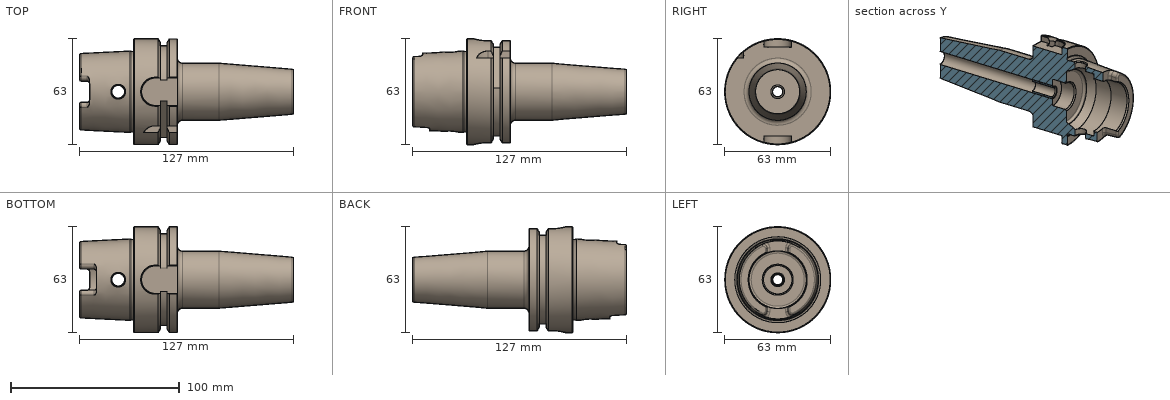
import cadquery as cq
import math

total_length = 127.0
taper_length = 32.0
flange_length = 26.0
flange_end = taper_length + flange_length
nose_start = 82.5

taper_mouth_radius = 22.7
taper_slope = 0.05
mouth_fillet = 1.0
relief_start = 29.8
relief_slope_length = 0.8
relief_radius = 48.0 / 2
face_recess_radius = 25.5
face_recess_fillet = 0.6
face_recess_depth = 0.5

flange_radius = 63.0 / 2
flange_chamfer = 0.4
groove_floor_start = 47.9
groove_floor_end = 51.8
groove_bevel_length = 1.4
groove_bevel_depth = 2.2
groove_radius = 27.3

shank_radius = 34.0 / 2
shank_fillet = 2.9
nose_radius = 13.5
nose_chamfer = 1.1
nose_chamfer_depth = 0.4

bore_mouth_radius = 34.0 / 2
bore_mouth_taper_length = 1.0
bore_mouth_taper_depth = 0.5
recess_start = 12.8
recess_end = 26.2
recess_cone_angle = 30.0
recess_radius = 40.0 / 2
inner_bore_radius = 17.1
floor_x = 33.0
floor_fillet = 1.4
coolant_radius = 16.9 / 2
coolant_chamfer = 0.8
coolant_length = 10.2

cross_hole_x = 22.9
cross_hole_radius = 7.5 / 2
cross_hole_chamfer = 0.6

slot_half_width = 6.2
slot_edge_fillet = 2.4
flare_overlap = 0.04
slot_depth_top = 5.8
slot_depth_bottom = 10.0
slot_root_fillet = 1.5

keyway_radius = 8.1
keyway_chamfer = 0.5
keyway_center_x = 44.8
keyway_floor = 26.4

notch_center_x = 44.8
notch_radius = 7.9
notch_wall_y = -20.2
notch_floor = 20.1
flat_distance = 21.7
flat_angle = 42.0

screw_radius = 4.1
screw_hole_radius = 6.0 / 2
screw_chamfer = 0.6
screw_length = 15.2
screw_start = floor_x + coolant_length

edge_samples = 4
tolerance = 0.03


def revolve_about_x(outline):
    return outline.close().revolve(360, (0, 0, 0), (1, 0, 0))


def make_blank():
    taper_end_radius = taper_mouth_radius + taper_slope * relief_start
    bevel_radius = flange_radius - groove_bevel_depth
    recess_floor_x = taper_length + face_recess_depth
    fillet_inset = face_recess_fillet * (1 - math.sqrt(0.5))
    arc_drop = shank_fillet * math.sqrt(0.5)
    outline = (
        cq.Workplane("XY")
        .moveTo(0, 0)
        .lineTo(0, taper_mouth_radius)
        .lineTo(relief_start, taper_end_radius)
        .lineTo(relief_start + relief_slope_length, relief_radius)
        .lineTo(recess_floor_x - face_recess_fillet, relief_radius)
        .threePointArc(
            (recess_floor_x - fillet_inset, relief_radius + fillet_inset),
            (recess_floor_x, relief_radius + face_recess_fillet),
        )
        .lineTo(recess_floor_x, face_recess_radius)
        .lineTo(taper_length, face_recess_radius)
        .lineTo(taper_length, flange_radius - flange_chamfer)
        .lineTo(taper_length + flange_chamfer, flange_radius)
        .lineTo(groove_floor_start - groove_bevel_length, flange_radius)
        .lineTo(groove_floor_start, bevel_radius)
        .lineTo(groove_floor_start, groove_radius)
        .lineTo(groove_floor_end, groove_radius)
        .lineTo(groove_floor_end, bevel_radius)
        .lineTo(groove_floor_end + groove_bevel_length, flange_radius)
        .lineTo(flange_end - flange_chamfer, flange_radius)
        .lineTo(flange_end, flange_radius - flange_chamfer)
        .lineTo(flange_end, shank_radius + shank_fillet)
        .threePointArc(
            (flange_end + shank_fillet - arc_drop, shank_radius + shank_fillet - arc_drop),
            (flange_end + shank_fillet, shank_radius),
        )
        .lineTo(nose_start, shank_radius)
        .lineTo(total_length - nose_chamfer, nose_radius)
        .lineTo(total_length, nose_radius - nose_chamfer_depth)
        .lineTo(total_length, 0)
    )
    return revolve_about_x(outline)


def bore_cutter():
    """Stepped bore: flared mouth, wide clamping recess, coolant bore and screw hole."""
    cone_depth = recess_radius - inner_bore_radius
    cone_end = recess_end + cone_depth / math.tan(math.radians(recess_cone_angle))
    arc_inset = floor_fillet * (1 - math.sqrt(0.5))
    outline = (
        cq.Workplane("XY")
        .lineTo(0, bore_mouth_radius + bore_mouth_taper_depth)
        .lineTo(bore_mouth_taper_length, bore_mouth_radius)
        .lineTo(recess_start, bore_mouth_radius)
        .lineTo(recess_start, recess_radius)
        .lineTo(recess_end, recess_radius)
        .lineTo(cone_end, inner_bore_radius)
        .lineTo(floor_x - floor_fillet, inner_bore_radius)
        .threePointArc(
            (floor_x - arc_inset, inner_bore_radius - arc_inset),
            (floor_x, inner_bore_radius - floor_fillet),
        )
        .lineTo(floor_x, coolant_radius + coolant_chamfer)
        .lineTo(floor_x + coolant_chamfer, coolant_radius)
        .lineTo(screw_start, coolant_radius)
        .lineTo(screw_start, screw_radius)
        .lineTo(total_length, screw_radius)
        .lineTo(total_length, 0)
    )
    return revolve_about_x(outline)


def edges_where(body, test):
    """Edges of the body on which every sampled point passes the test."""

    def passes(edge):
        return all(test(edge.positionAt(step / edge_samples)) for step in range(edge_samples + 1))

    return body.edges().filter(passes)


def taper_radius_at(x):
    return taper_mouth_radius + taper_slope * x


def distance_from_axis(point):
    return math.hypot(point.y, point.z)


def half_turn(body):
    return body.rotate((0, 0, 0), (1, 0, 0), 180)


def slot_profile(workplane, outer_radius):
    """Outline of a slot on the +Z side, its walls flaring in arcs that run into the outer radius."""
    center_y = slot_half_width + slot_edge_fillet
    center_distance = outer_radius + flare_overlap - slot_edge_fillet
    center_z = math.sqrt(center_distance**2 - center_y**2)
    flare_angle = math.atan2(center_z, center_y)
    middle_angle = (math.pi + flare_angle) / 2
    middle_y = center_y + slot_edge_fillet * math.cos(middle_angle)
    middle_z = center_z + slot_edge_fillet * math.sin(middle_angle)
    end_y = center_y + slot_edge_fillet * math.cos(flare_angle)
    end_z = center_z + slot_edge_fillet * math.sin(flare_angle)
    top_y = flange_radius * math.cos(flare_angle)
    top_z = flange_radius * math.sin(flare_angle)
    return (
        workplane.moveTo(-slot_half_width, 0)
        .lineTo(slot_half_width, 0)
        .lineTo(slot_half_width, center_z)
        .threePointArc((middle_y, middle_z), (end_y, end_z))
        .lineTo(top_y, top_z)
        .lineTo(-top_y, top_z)
        .lineTo(-end_y, end_z)
        .threePointArc((-middle_y, middle_z), (-slot_half_width, center_z))
        .close()
    )


def slot_cutter(depth):
    mouth = slot_profile(cq.Workplane("YZ"), taper_radius_at(0))
    slot = slot_profile(mouth.workplane(offset=depth), taper_radius_at(depth)).loft(ruled=True)

    def on_root(point):
        past_wall = abs(point.y) > slot_half_width - tolerance
        return past_wall and abs(point.x - depth) < tolerance and point.z < taper_radius_at(depth)

    return edges_where(slot, on_root).fillet(slot_root_fillet)


def cut_drive_slots(body):
    """Two open slots of different depth, and a round rim on what is left of the mouth."""
    body = body.cut(slot_cutter(slot_depth_top))
    body = body.cut(half_turn(slot_cutter(slot_depth_bottom)))
    return body.faces("<X").edges().fillet(mouth_fillet)


def cut_cross_hole(body):
    hole = cq.Workplane("XY").center(cross_hole_x, 0).circle(cross_hole_radius)
    body = body.cut(hole.extrude(taper_length, both=True))

    def on_rim(point):
        on_taper = abs(distance_from_axis(point) - taper_radius_at(point.x)) < tolerance
        return on_taper and math.hypot(point.x - cross_hole_x, point.y) < cross_hole_radius + tolerance

    return edges_where(body, on_rim).chamfer(cross_hole_chamfer)


def round_ended_slot(center_x, center_y, radius, floor_z):
    """Cutter for a flat-floored slot with a round end, open toward +X and +Z."""
    return (
        cq.Workplane("XY", origin=(0, 0, floor_z))
        .moveTo(flange_end, center_y + radius)
        .lineTo(center_x, center_y + radius)
        .threePointArc((center_x - radius, center_y), (center_x, center_y - radius))
        .lineTo(flange_end, center_y - radius)
        .close()
        .extrude(flange_radius)
    )


def cut_keyways(body):
    keyway = round_ended_slot(keyway_center_x, 0, keyway_radius, keyway_floor)
    body = body.cut(keyway).cut(half_turn(keyway))

    def on_rim(point):
        on_flange = abs(distance_from_axis(point) - flange_radius) < tolerance
        end_offset = math.hypot(min(point.x - keyway_center_x, 0), point.y)
        return on_flange and abs(end_offset - keyway_radius) < tolerance

    return edges_where(body, on_rim).chamfer(keyway_chamfer)


def cut_orientation_notch(body):
    center_y = notch_wall_y - notch_radius
    return body.cut(round_ended_slot(notch_center_x, center_y, notch_radius, notch_floor))


def cut_groove_flat(body):
    """Flat across the gripper groove floor, on the -Y side and tilted up toward +Z."""
    groove_width = groove_floor_end - groove_floor_start
    cutter = (
        cq.Workplane("XY")
        .box(groove_width, 2 * flange_radius, flange_radius, centered=(False, True, False))
        .translate((groove_floor_start, 0, flat_distance))
        .rotate((0, 0, 0), (1, 0, 0), 90 - flat_angle)
    )
    return body.cut(cutter)


def make_holder():
    body = cut_drive_slots(make_blank())
    body = body.cut(bore_cutter())
    body = cut_cross_hole(body)
    body = cut_keyways(body)
    body = cut_orientation_notch(body)
    return cut_groove_flat(body)


def make_screw():
    """Hollow screw in the holder's axial hole, countersunk at the end facing the taper."""
    screw_end = screw_start + screw_length
    outline = (
        cq.Workplane("XY")
        .moveTo(screw_start, screw_hole_radius + screw_chamfer)
        .lineTo(screw_start, screw_radius)
        .lineTo(screw_end, screw_radius)
        .lineTo(screw_end, screw_hole_radius)
        .lineTo(screw_start + screw_chamfer, screw_hole_radius)
    )
    return revolve_about_x(outline)


holder = make_holder()
screw = make_screw()
result = cq.Compound.makeCompound([holder.val(), screw.val()])